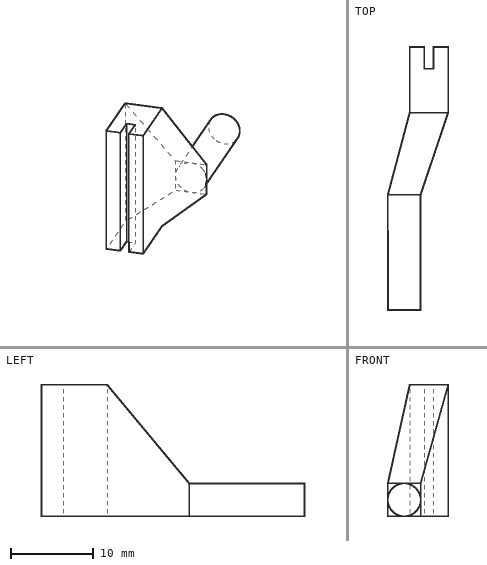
import cadquery as cq

total_length = 32.0
total_width = 7.35
block_height = 16.0

rod_diameter = 4.0
neck_size = rod_diameter

block_length = 8.0
block_width = 4.7
slot_width = 1.1
slot_depth = 2.62

transition_length = 10.0

neck_y = total_length - block_length - transition_length
block_y = neck_y + transition_length

neck_center_x = 0.0
block_center_x = total_width - neck_size / 2 - block_width / 2


def box_on_floor(center_x, start_y, width, length, height):
    """Box standing on Z = 0, centred in X and running toward +Y."""
    return (
        cq.Workplane("XY")
        .box(width, length, height, centered=(True, False, False))
        .translate((center_x, start_y, 0))
    )


def section_wire(center_x, y, width, height):
    """Upright rectangle standing on Z = 0 at the given Y."""
    left = center_x - width / 2
    right = center_x + width / 2
    corners = [(left, y, 0), (right, y, 0), (right, y, height), (left, y, height)]
    return cq.Wire.makePolygon([cq.Vector(*corner) for corner in corners], close=True)


rod = (
    cq.Workplane("XZ")
    .center(neck_center_x, rod_diameter / 2)
    .circle(rod_diameter / 2)
    .extrude(-neck_y)
)

neck_section = section_wire(neck_center_x, neck_y, neck_size, neck_size)
block_section = section_wire(block_center_x, block_y, block_width, block_height)
transition = cq.Workplane(obj=cq.Solid.makeLoft([neck_section, block_section], True))

block = box_on_floor(block_center_x, block_y, block_width, block_length, block_height)
slot = box_on_floor(block_center_x, total_length - slot_depth, slot_width, slot_depth, block_height)

result = rod.union(transition).union(block).cut(slot)